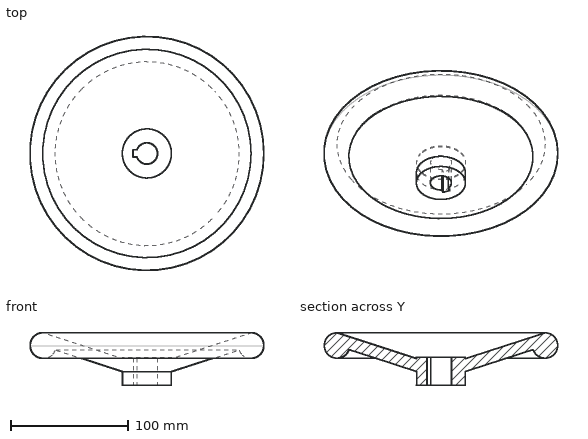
import cadquery as cq

wheel_radius = 100.0
total_height = 45.0

rim_section_radius = 11.0
rim_center_radius = wheel_radius - rim_section_radius
rim_center_height = total_height - rim_section_radius

hub_radius = 21.0
hub_top = 24.0

web_bottom_at_hub = 11.5
web_top_at_hub = 23.0
web_slope = (total_height - web_top_at_hub) / (rim_center_radius - hub_radius)
web_bottom_at_rim = web_bottom_at_hub + web_slope * (rim_center_radius - hub_radius)

bore_radius = 9.0
keyway_width = 6.0
keyway_reach = 11.8


def make_wheel_body():
    """Revolve hub, web and rim as one half section about the Z axis."""
    return (
        cq.Workplane("XZ")
        .moveTo(0, 0)
        .lineTo(hub_radius, 0)
        .lineTo(hub_radius, web_bottom_at_hub)
        .lineTo(rim_center_radius, web_bottom_at_rim)
        .lineTo(rim_center_radius, total_height)
        .lineTo(hub_radius, web_top_at_hub)
        .lineTo(hub_radius, hub_top)
        .lineTo(0, hub_top)
        .close()
        .revolve(360, (0, 0, 0), (0, 1, 0))
    )


def make_rim():
    """Revolve the round rim section about the Z axis."""
    return (
        cq.Workplane("XZ")
        .center(rim_center_radius, rim_center_height)
        .circle(rim_section_radius)
        .revolve(360, (-rim_center_radius, 0, 0), (-rim_center_radius, 1, 0))
    )


def make_keyed_bore():
    """Through bore with a keyway on the -X side."""
    bore = cq.Workplane("XY").circle(bore_radius).extrude(hub_top)
    keyway = (
        cq.Workplane("XY")
        .center(-keyway_reach / 2, 0)
        .rect(keyway_reach, keyway_width)
        .extrude(hub_top)
    )
    return bore.union(keyway)


def make_dish_clearance():
    """Cone of open space above the web, inside the rim."""
    return (
        cq.Workplane("XZ")
        .moveTo(hub_radius, web_top_at_hub)
        .lineTo(rim_center_radius, total_height)
        .lineTo(hub_radius, total_height)
        .close()
        .revolve(360, (0, 0, 0), (0, 1, 0))
    )


rim = make_rim().cut(make_dish_clearance())
result = make_wheel_body().union(rim).cut(make_keyed_bore())